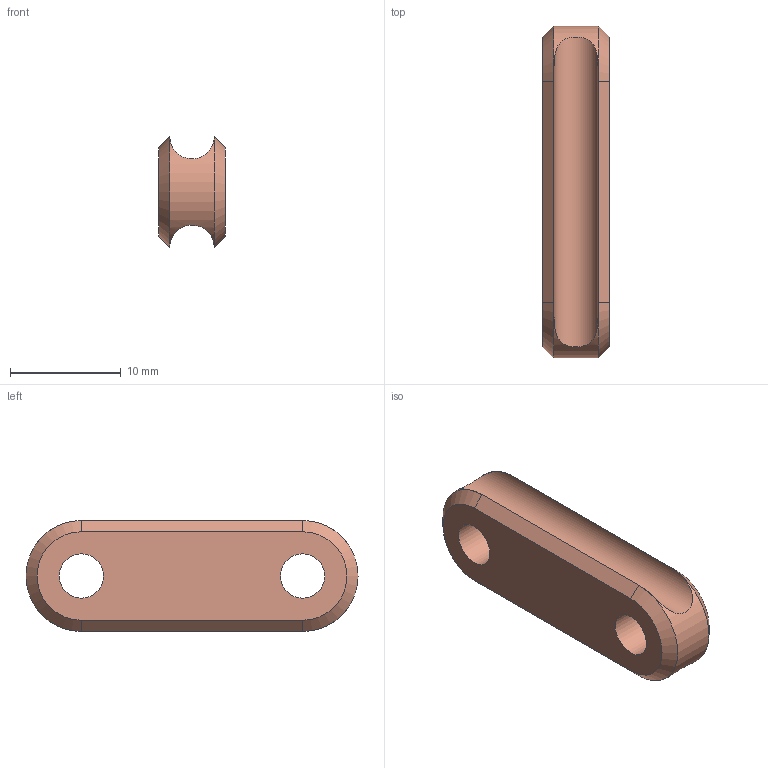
import cadquery as cq

thickness = 6.0
length = 30.0
height = 10.0
chamfer = 1.0
hole_diameter = 4.0

end_radius = height / 2
hole_spacing = length - height
groove_radius = thickness / 2 - chamfer


def make_link():
    """Stadium-shaped plate, centred on the origin, with both rims chamfered."""
    plate = cq.Workplane("YZ", origin=(-thickness / 2, 0, 0)).slot2D(length, height).extrude(thickness)
    return plate.faces("<X or >X").chamfer(chamfer)


def make_holes():
    """Two round holes along X, concentric with the rounded ends."""
    return (
        cq.Workplane("YZ", origin=(-thickness / 2, 0, 0))
        .pushPoints([(-hole_spacing / 2, 0), (hole_spacing / 2, 0)])
        .circle(hole_diameter / 2)
        .extrude(thickness)
    )


def make_grooves():
    """Straight round grooves along Y, centred on the top and bottom edges of the link."""
    return (
        cq.Workplane("XZ", origin=(0, length / 2, 0))
        .pushPoints([(0, -end_radius), (0, end_radius)])
        .circle(groove_radius)
        .extrude(length)
    )


result = make_link().cut(make_holes()).cut(make_grooves())